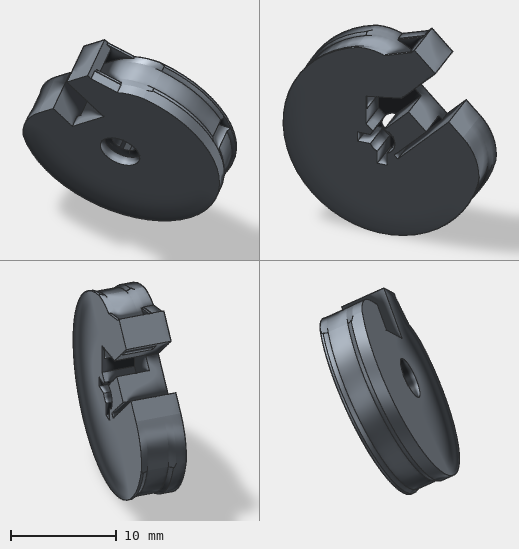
import cadquery as cq
import math

width = 4.5
front_flange = 1.25
back_flange = 0.25
rope_back = width - back_flange
notch_angle = 135

disc_radius = 10.1
groove_floor_front = 1.7
groove_floor_back = 3.8

notch_width = 4.5
notch_bottom = 4.6
flat_out = 7.345
finger_thickness = 3.0
finger_out = 9.9
finger_web_start = 9.42
web_foot = (-0.2, 9.45)
web_edge_drop = 0.05

lobe_side = 4.315
lobe_floor_radius = 4.98
lobe_rim_radius = 5.5
lobe_edge_front = 1.0

lobe_floor_out = flat_out - lobe_floor_radius
lobe_limit_spread = math.atan2(lobe_side, lobe_floor_out)
disc_floor_radius = lobe_floor_radius + math.hypot(lobe_side, lobe_floor_out)

rope_slot_height = 1.5
side_slot_bottom = 3.1
side_slot_top = side_slot_bottom + rope_slot_height

tongue_side_high = 0.8
tongue_side_low = -1.75
recess_right = 1.65
recess_wall_out = 5.06
hub_arm_half = 0.5
hub_arm_reach = 2.5

hole_radius = 1.3
counterbore_radius = 2.0
counterbore_depth = 1.0
dish_depth = front_flange

reach = 2 * disc_radius
notch_half = notch_width / 2
finger_end = notch_half + finger_thickness


def place(out, side):
    """X, Z position of a point given along and across the notch axis."""
    angle = math.radians(notch_angle)
    x = out * math.cos(angle) + side * math.sin(angle)
    z = out * math.sin(angle) - side * math.cos(angle)
    return (x, z)


def slab(points, y_front, y_back):
    """Straight-sided block with an X, Z outline between two Y levels."""
    plane = cq.Workplane("XZ", origin=(0, y_front, 0))
    return plane.polyline(points).close().extrude(y_front - y_back)


def notch_block(out_range, side_range, y_front, y_back):
    """Block whose sides are parallel and square to the notch axis."""
    out_low, out_high = out_range
    side_low, side_high = side_range
    corners = [
        place(out_low, side_low),
        place(out_high, side_low),
        place(out_high, side_high),
        place(out_low, side_high),
    ]
    return slab(corners, y_front, y_back)


def turned(points):
    """Solid turned about the Y axis from a (radius, Y) profile."""
    return cq.Workplane("XY").polyline(points).close().revolve(360, (0, 0, 0), (0, 1, 0))


def grooved_disc():
    return turned([
        (0, 0),
        (disc_radius, 0),
        (disc_radius, front_flange),
        (disc_floor_radius, groove_floor_front),
        (disc_floor_radius, groove_floor_back),
        (disc_radius, rope_back),
        (disc_radius, width),
        (0, width),
    ])


def lobe_layer(direction, front, back):
    """Lobe slice between two (radius, Y) circles that both touch the flat."""
    circles = []
    for radius, y in (front, back):
        x, z = place(flat_out - radius, direction * lobe_side)
        circle = cq.Wire.makeCircle(radius, cq.Vector(x, y, z), cq.Vector(0, 1, 0))
        circles.append(circle)
    return cq.Workplane(cq.Solid.makeLoft(circles, True))


def grooved_lobe(direction):
    """Lobe with a rope groove that grows from nothing at the flat."""
    stations = [
        (lobe_rim_radius, 0),
        (lobe_rim_radius, lobe_edge_front),
        (lobe_floor_radius, groove_floor_front),
        (lobe_floor_radius, groove_floor_back),
        (lobe_rim_radius, width),
    ]
    side_range = sorted((0, direction * lobe_side))
    lobe = notch_block((0, flat_out), side_range, 0, width)
    for front, back in zip(stations, stations[1:]):
        lobe = lobe.union(lobe_layer(direction, front, back))
    return lobe


def lobe_trim(direction):
    """Material outside one lobe, between its limit direction and the notch axis."""
    limit_out = reach * math.cos(lobe_limit_spread)
    limit_side = direction * reach * math.sin(lobe_limit_spread)
    limit = place(limit_out, limit_side)
    corner = place(reach, direction * reach)
    sector = slab([(0, 0), limit, corner, place(reach, 0)], 0, width)
    return sector.cut(grooved_lobe(direction))


def finger_web(y_front, y_back, drop=0.0):
    """Plate that fills the corner between the finger and the upper lobe."""
    foot_x, foot_z = web_foot
    tip_x, tip_z = place(finger_web_start, finger_end)
    outline = [
        (tip_x, tip_z - drop),
        (foot_x, foot_z - drop),
        place(0, lobe_side),
        place(0, notch_half),
        place(flat_out, notch_half),
    ]
    return slab(outline, y_front, y_back)


def add_finger(body):
    finger = notch_block((flat_out, finger_out), (notch_half, finger_end), 0, width)
    rope_slot = notch_block(
        (flat_out, flat_out + rope_slot_height),
        (notch_half, finger_end),
        front_flange,
        rope_back,
    )
    body = body.union(finger.cut(rope_slot))
    body = body.union(finger_web(0, lobe_edge_front))
    body = body.union(finger_web(lobe_edge_front, front_flange, web_edge_drop))
    return body.union(finger_web(rope_back, width))


def cut_notch(body):
    notch = notch_block((notch_bottom, reach), (-notch_half, notch_half), 0, width)
    return body.cut(notch)


def cut_recess(body):
    high_recess = slab(
        [
            place(0, tongue_side_high),
            place(notch_bottom, tongue_side_high),
            place(notch_bottom, notch_half),
            place(recess_wall_out, notch_half),
            (recess_right, side_slot_top),
            (recess_right, place(0, notch_half)[1]),
        ],
        front_flange,
        width,
    )
    low_recess = notch_block(
        (0, notch_bottom), (-notch_half, tongue_side_low), front_flange, width
    )
    side_slot = slab(
        [
            (recess_right, side_slot_bottom),
            (reach, side_slot_bottom),
            (reach, side_slot_top),
            (recess_right, side_slot_top),
        ],
        front_flange,
        rope_back,
    )
    return body.cut(high_recess).cut(low_recess).cut(side_slot)


def cut_hub_arms(body):
    """Two short arms of the recess, toward +X and -Z from the screw hole."""
    for x_end, z_end in ((hub_arm_reach, hub_arm_half), (-hub_arm_half, -hub_arm_reach)):
        x_start = -math.copysign(hub_arm_half, x_end)
        z_start = -math.copysign(hub_arm_half, z_end)
        corners = [(x_start, z_start), (x_end, z_start), (x_end, z_end), (x_start, z_end)]
        body = body.cut(slab(corners, front_flange, width))
    return body


def screw_hole():
    """Counterbore with a dished floor, tangent to the floor plane at the hole."""
    step = counterbore_radius - hole_radius
    rise = dish_depth - counterbore_depth
    dish_radius = (step ** 2 + rise ** 2) / (2 * rise)
    half_angle = math.asin(step / dish_radius) / 2
    middle = (
        hole_radius + dish_radius * math.sin(half_angle),
        dish_depth - dish_radius * (1 - math.cos(half_angle)),
    )
    profile = (
        cq.Workplane("XY")
        .moveTo(0, 0)
        .lineTo(counterbore_radius, 0)
        .lineTo(counterbore_radius, counterbore_depth)
        .threePointArc(middle, (hole_radius, dish_depth))
        .lineTo(hole_radius, width)
        .lineTo(0, width)
        .close()
    )
    return profile.revolve(360, (0, 0, 0), (0, 1, 0))


body = grooved_disc()
for direction in (-1, 1):
    body = body.cut(lobe_trim(direction))
body = add_finger(body)
body = cut_notch(body)
body = cut_recess(body)
body = cut_hub_arms(body)
result = body.cut(screw_hole())